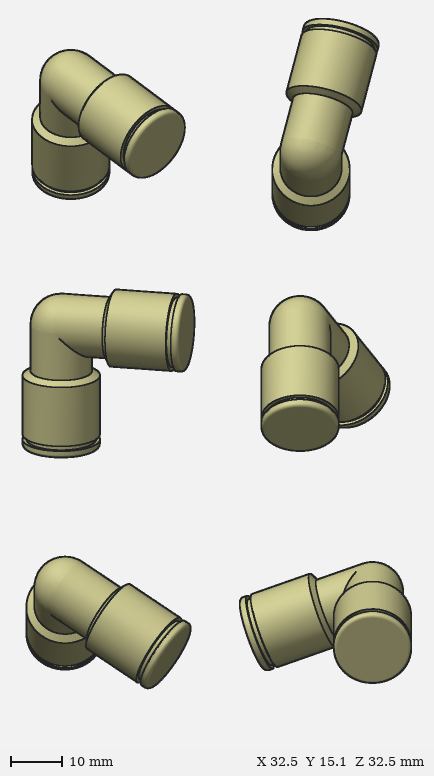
import cadquery as cq

arm_reach = 25.0
tube_diameter = 12.0
socket_diameter = 15.1
neck_diameter = 13.6
shoulder_start = 9.5
shoulder_length = 0.9
flange_thickness = 1.5
neck_length = 1.0
flange_fillet = 0.68

tube_radius = tube_diameter / 2
socket_radius = socket_diameter / 2
neck_radius = neck_diameter / 2
socket_start = shoulder_start + shoulder_length
flange_start = arm_reach - flange_thickness
socket_end = flange_start - neck_length


def housing_arm():
    """Arm along +X: tube, conical shoulder and socket turned about the X axis."""
    return (
        cq.Workplane("XZ")
        .lineTo(0, tube_radius)
        .lineTo(shoulder_start, tube_radius)
        .lineTo(socket_start, socket_radius)
        .lineTo(socket_end, socket_radius)
        .lineTo(socket_end, 0)
        .close()
        .revolve(360, (0, 0, 0), (1, 0, 0))
    )


def corner_dome():
    """Quarter sphere that rounds the outside of the elbow, in the -X, +Z quadrant."""
    half_disc = (
        cq.Workplane("XY")
        .moveTo(0, -tube_radius)
        .threePointArc((-tube_radius, 0), (0, tube_radius))
        .close()
    )
    return half_disc.revolve(90, (0, 0, 0), (0, 1, 0))


def release_ring():
    """Release ring on the +X arm: neck against the socket end, flange with a rounded outer edge."""
    neck = cq.Workplane("YZ", origin=(socket_end, 0, 0)).circle(neck_radius).extrude(neck_length)
    flange = (
        cq.Workplane("YZ", origin=(flange_start, 0, 0))
        .circle(socket_radius)
        .extrude(flange_thickness)
        .faces(">X")
        .edges()
        .fillet(flange_fillet)
    )
    return neck.union(flange)


def turned_to_arm(body, angle):
    """Swing a body built on the +X arm about the Y axis."""
    return body.rotate((0, 0, 0), (0, 1, 0), angle)


arm_angles = (0, 90)

housing = corner_dome()
for arm_angle in arm_angles:
    housing = housing.union(turned_to_arm(housing_arm(), arm_angle))

release_rings = [turned_to_arm(release_ring(), arm_angle) for arm_angle in arm_angles]

housing_solid = housing.solids().val()
ring_solids = [ring.solids().val() for ring in release_rings]
result = cq.Compound.makeCompound([housing_solid, *ring_solids])